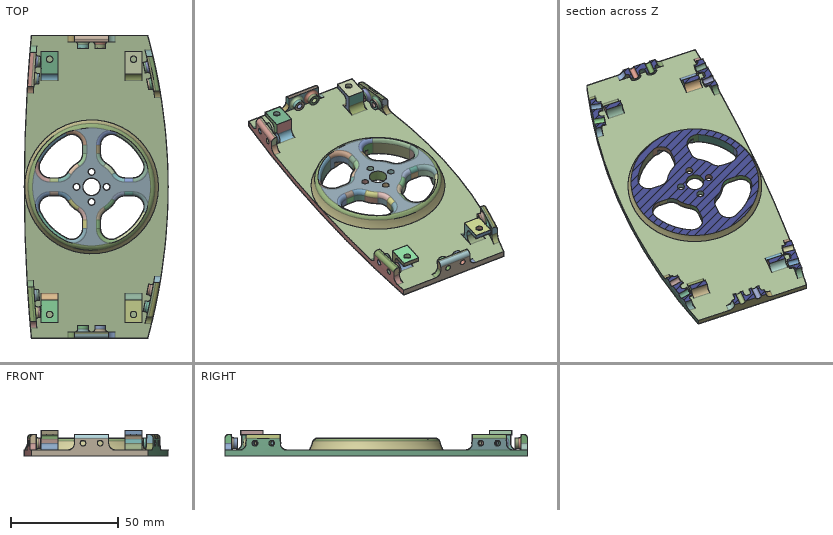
import cadquery as cq
import math

plate_length = 141.2
plate_thickness = 3.0
left_reach = 31.4
right_reach = 35.75
left_corner_x = 28.1
right_corner_x = 26.2
half_length = plate_length / 2


def bow_radius(sagitta):
    """Radius of an edge that bows out by `sagitta` over the plate length."""
    return (half_length**2 + sagitta**2) / (2 * sagitta)


left_radius = bow_radius(left_reach - left_corner_x)
right_radius = bow_radius(right_reach - right_corner_x)
left_center_x = left_radius - left_reach
right_center_x = right_reach - right_radius

wheel_top = 8.5
rim_base_radius = 31.2
rim_shoulder_radius = 29.6
rim_shoulder_z = 7.1
rim_flat_radius = 27.5
rim_cove_radius = 17.0
rim_rounding_bow = 0.33
top_rounding = 2.0
pocket_outer_radius = 26.5
underside_recess_radius = 26.0
hub_radius = 13.0
spoke_half_width = 4.25
pocket_corner_radius = 5.0
shaft_hole_diameter = 8.0
screw_hole_diameter = 3.0
screw_circle_radius = 7.0

wall_length = 16.0
wall_thickness = 3.0
wall_top = 10.25
wall_foot_radius = 3.0
wall_rounding = 2.0
left_wall_y = 54.75
right_wall_y = 52.7
boss_spacing = 8.0
boss_height_z = 6.1
boss_diameter = 5.0
end_boss_reach = 6.0
side_boss_reach = 5.25
boss_cove_radius = 1.25
boss_root_depth = 2.0
boss_hole_diameter = 2.6

clip_x = 19.55
clip_width = 8.0
clip_inner_y = 52.7
clip_outer_y = 63.2
clip_leg = 2.5
clip_top = 12.0
clip_plate = 2.0
clip_foot_radius = 3.0
clip_inside_radius = 2.0
clip_hole_diameter = 3.0
clip_hole_y = 59.5

COS45 = math.sqrt(0.5)


def disc(center_x, radius, height):
    return cq.Workplane("XY").center(center_x, 0).circle(radius).extrude(height)


def make_plate():
    """Plate with bowed sides, open below the hub, spokes and pockets."""
    blank_width = 2 * (left_reach + right_reach)
    blank = cq.Workplane("XY").rect(blank_width, plate_length).extrude(plate_thickness)
    blank = blank.intersect(disc(left_center_x, left_radius, plate_thickness))
    blank = blank.intersect(disc(right_center_x, right_radius, plate_thickness))
    blank = blank.cut(make_pockets(plate_thickness))
    return blank.cut(disc(0, underside_recess_radius, plate_thickness))


def make_wheel_body():
    """Solid disc on the plate, with a coved side and a rounded top edge."""
    chord_r = rim_flat_radius - rim_shoulder_radius
    chord_z = wheel_top - rim_shoulder_z
    chord = math.hypot(chord_r, chord_z)
    crown = (
        rim_shoulder_radius + chord_r / 2 + rim_rounding_bow * chord_z / chord,
        rim_shoulder_z + chord_z / 2 - rim_rounding_bow * chord_r / chord,
    )
    return (
        cq.Workplane("XZ")
        .moveTo(0, plate_thickness)
        .lineTo(rim_base_radius, plate_thickness)
        .radiusArc((rim_shoulder_radius, rim_shoulder_z), rim_cove_radius)
        .threePointArc(crown, (rim_flat_radius, wheel_top))
        .lineTo(0, wheel_top)
        .close()
        .revolve(360, (0, 0, 0), (0, 1, 0))
    )


def make_pocket(height):
    """Opening between two spokes in the +X +Y quadrant."""
    corner_x = spoke_half_width + pocket_corner_radius
    rim_corner_y = math.sqrt((pocket_outer_radius - pocket_corner_radius) ** 2 - corner_x**2)
    hub_corner_y = math.sqrt((hub_radius + pocket_corner_radius) ** 2 - corner_x**2)
    rim_angle = math.atan2(rim_corner_y, corner_x)
    hub_angle = math.atan2(hub_corner_y, corner_x)

    def on_circle(radius, angle):
        return radius * math.cos(angle), radius * math.sin(angle)

    def on_corner(corner_y, angle):
        x, y = on_circle(pocket_corner_radius, angle)
        return corner_x + x, corner_y + y

    def flip(point):
        return point[1], point[0]

    rim_start = on_circle(pocket_outer_radius, rim_angle)
    hub_end = on_circle(hub_radius, hub_angle)
    rim_corner_mid = on_corner(rim_corner_y, (math.pi + rim_angle) / 2)
    hub_corner_mid = on_corner(hub_corner_y, math.pi + hub_angle / 2)
    spoke_hub_end = (spoke_half_width, hub_corner_y)
    spoke_rim_end = (spoke_half_width, rim_corner_y)
    return (
        cq.Workplane("XY")
        .moveTo(*spoke_hub_end)
        .lineTo(*spoke_rim_end)
        .threePointArc(rim_corner_mid, rim_start)
        .threePointArc(on_circle(pocket_outer_radius, math.pi / 4), flip(rim_start))
        .threePointArc(flip(rim_corner_mid), flip(spoke_rim_end))
        .lineTo(*flip(spoke_hub_end))
        .threePointArc(flip(hub_corner_mid), flip(hub_end))
        .threePointArc(on_circle(hub_radius, math.pi / 4), hub_end)
        .threePointArc(hub_corner_mid, spoke_hub_end)
        .close()
        .extrude(height)
    )


def make_pockets(height):
    pocket = make_pocket(height)
    pockets = pocket
    for angle in (90, 180, 270):
        pockets = pockets.union(pocket.rotate((0, 0, 0), (0, 0, 1), angle))
    return pockets


def make_wheel():
    """Wheel body with the pocket rims rounded; the roundings meet along the rim."""
    blank_radius = rim_base_radius + pocket_corner_radius
    spokes = disc(0, blank_radius, wheel_top).cut(make_pockets(wheel_top))
    spokes = spokes.faces(">Z").edges().fillet(top_rounding)
    return make_wheel_body().intersect(spokes)


def make_hub_holes():
    holes = disc(0, shaft_hole_diameter / 2, wheel_top)
    screws = (
        cq.Workplane("XY")
        .polarArray(screw_circle_radius, 0, 360, 4)
        .circle(screw_hole_diameter / 2)
        .extrude(wheel_top)
    )
    return holes.union(screws)


def wall_profile(workplane):
    """Upright wall outline, centred on the workplane origin, with coved feet."""
    half = wall_length / 2
    foot = wall_foot_radius
    cove_z = plate_thickness + foot
    cove_mid = (half + foot * (1 - COS45), cove_z - foot * COS45)
    return (
        workplane.moveTo(-half - foot, 0)
        .lineTo(half + foot, 0)
        .lineTo(half + foot, plate_thickness)
        .threePointArc(cove_mid, (half, cove_z))
        .lineTo(half, wall_top)
        .lineTo(-half, wall_top)
        .lineTo(-half, cove_z)
        .threePointArc((-cove_mid[0], cove_mid[1]), (-half - foot, plate_thickness))
        .close()
    )


def make_side_wall(center_x, radius, wall_y, side):
    """Wall that follows a bowed plate edge; side is -1 for left, +1 for right."""
    band = disc(center_x, radius, wall_top).cut(disc(center_x, radius - wall_thickness, wall_top))
    outline = wall_profile(cq.Workplane("YZ", origin=(0, wall_y, 0)))
    wall = outline.extrude(side * 2 * right_reach).intersect(band)
    outer_edge = ">X" if side > 0 else "<X"
    return wall.faces(">Z").edges("not |X").edges(outer_edge).fillet(wall_rounding)


def make_end_wall():
    wall = wall_profile(cq.Workplane("XZ", origin=(0, half_length, 0))).extrude(wall_thickness)
    return wall.faces(">Z").edges(">Y").fillet(wall_rounding)


def make_boss(reach):
    """Boss along +X from the outer wall face at X = 0, flaring into the wall."""
    radius = boss_diameter / 2
    cove = boss_cove_radius
    cove_end = wall_thickness + cove
    cove_mid = (cove_end - cove * COS45, radius + cove * (1 - COS45))
    return (
        cq.Workplane("XY")
        .moveTo(boss_root_depth, 0)
        .lineTo(boss_root_depth, radius + cove)
        .lineTo(wall_thickness, radius + cove)
        .threePointArc(cove_mid, (cove_end, radius))
        .lineTo(reach, radius)
        .lineTo(reach, 0)
        .close()
        .revolve(360, (0, 0, 0), (1, 0, 0))
    )


def make_boss_hole():
    hole = cq.Workplane("YZ").circle(boss_hole_diameter / 2)
    return hole.extrude(end_boss_reach + wall_thickness).translate((-wall_thickness, 0, 0))


def place_pair(shape, x, y, inward_angle):
    """Two copies of a +X shape, spaced along the wall and turned to point inward."""
    pair = cq.Workplane("XY")
    for offset in (-boss_spacing / 2, boss_spacing / 2):
        pair = pair.union(shape.translate((0, offset, boss_height_z)))
    return pair.rotate((0, 0, 0), (0, 0, 1), inward_angle).translate((x, y, 0))


def edge_spot(center_x, radius, wall_y, side):
    """Point on a bowed edge and the direction (degrees) pointing inward there."""
    tilt = math.asin(wall_y / radius)
    x = center_x + side * radius * math.cos(tilt)
    inward = 180 + math.degrees(tilt) if side > 0 else -math.degrees(tilt)
    return x, wall_y, inward


def make_clip(x):
    """Clip standing on one leg and reaching outward over the plate."""
    foot = clip_foot_radius
    inside = clip_inside_radius
    leg_outer_y = clip_inner_y + clip_leg
    foot_top = plate_thickness + foot
    underside = clip_top - clip_plate
    foot_drop = foot * COS45
    foot_run = foot * (1 - COS45)
    inside_run = inside * (1 - COS45)
    clip = (
        cq.Workplane("YZ", origin=(x - clip_width / 2, 0, 0))
        .moveTo(clip_inner_y - foot, plate_thickness / 2)
        .lineTo(leg_outer_y + foot, plate_thickness / 2)
        .lineTo(leg_outer_y + foot, plate_thickness)
        .threePointArc((leg_outer_y + foot_run, foot_top - foot_drop), (leg_outer_y, foot_top))
        .lineTo(leg_outer_y, underside - inside)
        .threePointArc(
            (leg_outer_y + inside_run, underside - inside_run),
            (leg_outer_y + inside, underside),
        )
        .lineTo(clip_outer_y, underside)
        .lineTo(clip_outer_y, clip_top)
        .lineTo(clip_inner_y, clip_top)
        .lineTo(clip_inner_y, foot_top)
        .threePointArc(
            (clip_inner_y - foot_run, foot_top - foot_drop),
            (clip_inner_y - foot, plate_thickness),
        )
        .close()
        .extrude(clip_width)
    )
    hole = (
        cq.Workplane("XY", origin=(x, clip_hole_y, underside))
        .circle(clip_hole_diameter / 2)
        .extrude(clip_plate)
    )
    return clip.cut(hole)


def make_end_fittings():
    """Walls, bosses and clips at the +Y end, with the boss holes drilled."""
    left_edge = (left_center_x, left_radius, left_wall_y, -1)
    right_edge = (right_center_x, right_radius, right_wall_y, 1)
    places = [
        (side_boss_reach, edge_spot(*left_edge)),
        (side_boss_reach, edge_spot(*right_edge)),
        (end_boss_reach, (0, half_length, -90)),
    ]
    fittings = make_end_wall()
    fittings = fittings.union(make_side_wall(*left_edge)).union(make_side_wall(*right_edge))
    for reach, spot in places:
        fittings = fittings.union(place_pair(make_boss(reach), *spot))
    for _, spot in places:
        fittings = fittings.cut(place_pair(make_boss_hole(), *spot))
    return fittings.union(make_clip(-clip_x)).union(make_clip(clip_x))


end_fittings = make_end_fittings()
result = make_plate().union(make_wheel()).cut(make_hub_holes())
result = result.union(end_fittings).union(end_fittings.mirror("XZ"))